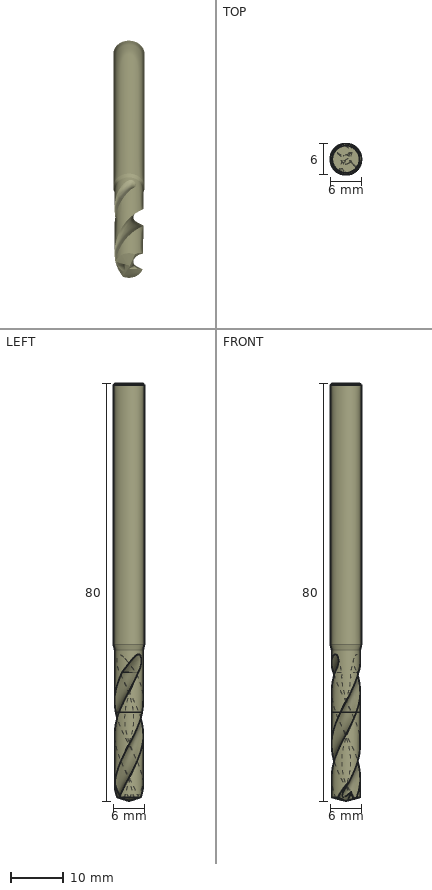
import cadquery as cq
import math

overall_length = 80.0
shank_diameter = 6.0
drill_diameter = 5.5
shank_bottom = 30.0
neck_top = 29.0
cutting_length = 17.0
end_chamfer = 0.4
point_angle = 150.0

shank_radius = shank_diameter / 2
drill_radius = drill_diameter / 2
point_height = drill_radius / math.tan(math.radians(point_angle / 2))

flute_count = 2
flute_pitch = 33.0
flute_radius = 1.55
flute_centre_radius = 2.4
flute_top = 24.7
flute_top_azimuth = 186.0
runout_height = 3.5
runout_sideways = 2.6
runout_outward = 1.1
flute_start = -1.0

gash_azimuth = 310.0
gash_rise_angle = 58.0
gash_wall_offset = 0.4
gash_floor_tilt = 8.5
gash_reach = 3.0
gash_depth = 6.0


def revolved(profile_points):
    """Turns an outline of (radius, height) points about the Z axis."""
    return cq.Workplane("XZ").polyline(profile_points).close().revolve(360, (0, 0, 0), (0, 1, 0))


def flute_cutter(azimuth):
    """One helical groove and its straight run-out; azimuth is the groove direction at the helix top."""
    helix_height = flute_top - flute_start
    twist = 360 * helix_height / flute_pitch
    helix = (
        cq.Workplane("XY")
        .moveTo(flute_centre_radius, 0)
        .circle(flute_radius)
        .twistExtrude(helix_height, twist)
        .rotate((0, 0, 0), (0, 0, 1), azimuth - twist)
        .translate((0, 0, flute_start))
    )
    groove_end = cq.Face.makeFromWires(
        cq.Wire.makeCircle(flute_radius, cq.Vector(flute_centre_radius, 0, flute_top), cq.Vector(0, 0, 1))
    )
    runout = cq.Solid.extrudeLinear(groove_end, cq.Vector(runout_outward, runout_sideways, runout_height))
    return helix, cq.Workplane(runout).rotate((0, 0, 0), (0, 0, 1), azimuth)


def gash_cutter(azimuth):
    """Slanted prism below the gash floor, with an upright wall on the lip side."""
    floor_fall = (gash_wall_offset + gash_reach) * math.tan(math.radians(gash_floor_tilt))
    section = (
        cq.Workplane("YZ")
        .moveTo(gash_wall_offset, 0)
        .lineTo(-gash_reach, -floor_fall)
        .lineTo(-gash_reach, -gash_depth)
        .lineTo(gash_wall_offset, -gash_depth)
        .close()
    )
    rise = gash_reach * math.tan(math.radians(gash_rise_angle))
    face = cq.Face.makeFromWires(section.wire().val())
    prism = cq.Solid.extrudeLinear(face, cq.Vector(gash_reach, 0, rise))
    return cq.Workplane(prism).rotate((0, 0, 0), (0, 0, 1), azimuth)


shank = revolved(
    [
        (0, cutting_length),
        (drill_radius, cutting_length),
        (drill_radius, neck_top),
        (shank_radius, shank_bottom),
        (shank_radius, overall_length - end_chamfer),
        (shank_radius - end_chamfer, overall_length),
        (0, overall_length),
    ]
)

cutting_tip = revolved(
    [(0, 0), (drill_radius, point_height), (drill_radius, cutting_length), (0, cutting_length)]
)

for index in range(flute_count):
    turn = index * 360 / flute_count
    helix, runout = flute_cutter(flute_top_azimuth + turn)
    shank = shank.cut(helix).cut(runout)
    cutting_tip = cutting_tip.cut(helix).cut(gash_cutter(gash_azimuth + turn))

result = cq.Compound.makeCompound([shank.val(), cutting_tip.val()])